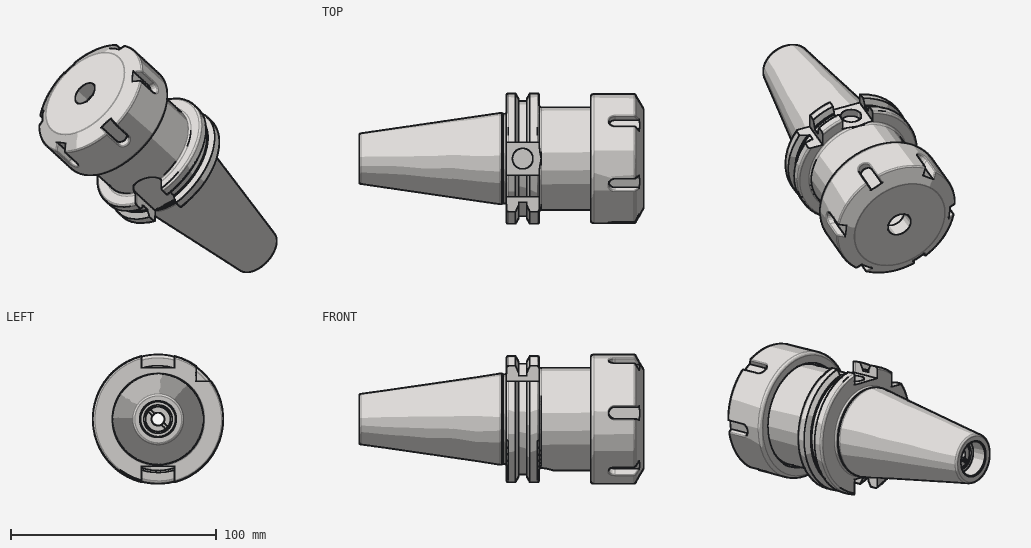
import cadquery as cq
import math


edge_tolerance = 0.01

taper_length = 68.4
taper_ratio = 7 / 24
gauge_radius = 44.45 / 2
taper_end_fillet = 1.0
gauge_land = 0.8
neck_radius = 21.9
neck_start = 1.6
neck_fillet = 0.7

flange_start = 3.2
flange_end = 19.1
flange_radius = 63.55 / 2
flange_fillet = 1.0
groove_center = 11.1
groove_floor_radius = 28.1
groove_floor_width = 3.75
groove_mouth_width = 7.0
groove_flank_angle = 30.0

slot_width = 16.1
slot_end = 26.0
upper_slot_height = 25.0
lower_slot_height = 22.8
notch_offset = 18.5
chip_hole_diameter = 10.0
chip_hole_depth = 4.0

body_radius = 25.0
body_fillet = 1.0
nose_end = 62.0
entry_radius = 8.5
entry_depth = 8.0
entry_chamfer = 0.4
seat_radius = 6.9
seat_depth = 0.3
bore_radius = 6.05

screw_length = 10.0
screw_hole_radius = 3.1
screw_slot_width = 1.5
screw_slot_depth = 1.5
screw_slot_angle = 45.0

nut_start = 44.1
nut_end = 70.0
nut_radius = 31.49
nut_back_fillet = 1.6
nut_face_radius = 24.0
nut_cone_angle = 30.0
nut_cone_fillet = 1.0
nut_face_fillet = 0.5
nut_relief_radius = 26.0
nut_relief_depth = 2.0
nut_slot_count = 6
nut_slot_first_angle = 6.0
nut_slot_width = 6.0
nut_slot_start = 52.9
nut_slot_floor = 27.6
nut_slot_edge_fillet = 0.5


def revolve_about_x(points):
    return cq.Workplane("XY").polyline(points).close().revolve(360, (0, 0, 0), (1, 0, 0))


def cylinder_x(radius, start, end):
    return cq.Workplane("YZ", origin=(start, 0, 0)).circle(radius).extrude(end - start)


def round_ring_edge(solid, x, radius, fillet):
    """Fillet the circular edge of the given radius that lies at x around the axis."""
    ring = solid.edges("%CIRCLE").filter(
        lambda edge: abs(edge.Center().x - x) < edge_tolerance
        and abs(edge.radius() - radius) < edge_tolerance
    )
    return ring.fillet(fillet)


def make_holder_blank():
    groove_rise = (groove_mouth_width - groove_floor_width) / 2 / math.tan(math.radians(groove_flank_angle))
    flank_foot_radius = flange_radius - groove_rise
    mouth_half = groove_mouth_width / 2
    floor_half = groove_floor_width / 2
    shank_end = -taper_length
    shank_end_radius = gauge_radius - taper_length * taper_ratio / 2
    blank = revolve_about_x([
        (shank_end, 0),
        (shank_end, shank_end_radius),
        (0, gauge_radius),
        (gauge_land, gauge_radius),
        (neck_start, neck_radius),
        (flange_start, neck_radius),
        (flange_start, flange_radius),
        (groove_center - mouth_half, flange_radius),
        (groove_center - floor_half, flank_foot_radius),
        (groove_center - floor_half, groove_floor_radius),
        (groove_center + floor_half, groove_floor_radius),
        (groove_center + floor_half, flank_foot_radius),
        (groove_center + mouth_half, flange_radius),
        (flange_end, flange_radius),
        (flange_end, body_radius),
        (nose_end, body_radius),
        (nose_end, 0),
    ])
    blank = round_ring_edge(blank, shank_end, shank_end_radius, taper_end_fillet)
    blank = round_ring_edge(blank, flange_start, neck_radius, neck_fillet)
    blank = round_ring_edge(blank, flange_start, flange_radius, flange_fillet)
    blank = round_ring_edge(blank, flange_end, flange_radius, flange_fillet)
    return round_ring_edge(blank, flange_end, body_radius, body_fillet)


def make_drive_slot(floor_height, side):
    """Slot open toward the shank and rounded at its far end, on the +Z (1) or -Z (-1) side."""
    round_radius = slot_width / 2
    round_center = slot_end - round_radius
    return (
        cq.Workplane("XY", origin=(0, 0, side * floor_height))
        .moveTo(0, -round_radius)
        .lineTo(round_center, -round_radius)
        .threePointArc((slot_end, 0), (round_center, round_radius))
        .lineTo(0, round_radius)
        .close()
        .extrude(side * flange_radius)
    )


def make_corner_notch():
    width = flange_end - flange_start
    return cq.Workplane("XY").box(width, flange_radius, flange_radius, centered=False).translate(
        (flange_start, -notch_offset - flange_radius, notch_offset)
    )


def make_chip_hole():
    return (
        cq.Workplane("XY", origin=(groove_center, 0, upper_slot_height))
        .circle(chip_hole_diameter / 2)
        .extrude(-chip_hole_depth)
    )


def make_holder_bore():
    mouth = -taper_length
    step = mouth + entry_depth
    return revolve_about_x([
        (mouth, 0),
        (mouth, entry_radius + entry_chamfer),
        (mouth + entry_chamfer, entry_radius),
        (step, entry_radius),
        (step, seat_radius),
        (step + seat_depth, bore_radius),
        (nose_end, bore_radius),
        (nose_end, 0),
    ])


def make_holder():
    holder = make_holder_blank()
    holder = holder.cut(make_drive_slot(upper_slot_height, 1))
    holder = holder.cut(make_drive_slot(lower_slot_height, -1))
    holder = holder.cut(make_corner_notch())
    holder = holder.cut(make_chip_hole())
    return holder.cut(make_holder_bore())


def make_coolant_screw():
    start = -taper_length + entry_depth + seat_depth
    screw = cylinder_x(bore_radius, start, start + screw_length)
    screw = screw.cut(cylinder_x(screw_hole_radius, start, start + screw_length))
    driver_slot = (
        cq.Workplane("YZ", origin=(start, 0, 0))
        .rect(2 * bore_radius, screw_slot_width)
        .extrude(screw_slot_depth)
        .rotate((0, 0, 0), (1, 0, 0), screw_slot_angle)
    )
    return screw.cut(driver_slot)


def make_nut_blank():
    cone_start = nut_end - (nut_radius - nut_face_radius) * math.tan(math.radians(nut_cone_angle))
    blank = revolve_about_x([
        (nut_start, 0),
        (nut_start, nut_radius),
        (cone_start, nut_radius),
        (nut_end, nut_face_radius),
        (nut_end, 0),
    ])
    blank = round_ring_edge(blank, nut_start, nut_radius, nut_back_fillet)
    blank = round_ring_edge(blank, cone_start, nut_radius, nut_cone_fillet)
    return round_ring_edge(blank, nut_end, nut_face_radius, nut_face_fillet)


def make_nut_slot(angle):
    """Spanner slot on the -Y side, turned about X by the given angle toward +Z."""
    round_radius = nut_slot_width / 2
    round_center = nut_slot_start + round_radius
    return (
        cq.Workplane("XZ", origin=(0, -nut_slot_floor, 0))
        .moveTo(nut_end, -round_radius)
        .lineTo(round_center, -round_radius)
        .threePointArc((nut_slot_start, 0), (round_center, round_radius))
        .lineTo(nut_end, round_radius)
        .close()
        .extrude(nut_radius)
        .rotate((0, 0, 0), (1, 0, 0), -angle)
    )


def round_nut_slot_mouths(nut):
    """Round the edges where the slots break through the outer cylinder of the nut."""
    outer_cylinder = nut.faces("%CYLINDER").filter(
        lambda face: face.BoundingBox().zlen > 2 * nut_slot_floor
    )
    mouth_edges = outer_cylinder.edges().filter(
        lambda edge: edge.BoundingBox().xlen > edge_tolerance
        and edge.BoundingBox().xmin > nut_slot_start - edge_tolerance
    )
    return mouth_edges.fillet(nut_slot_edge_fillet)


def make_nut():
    nut = make_nut_blank()
    for i in range(nut_slot_count):
        nut = nut.cut(make_nut_slot(nut_slot_first_angle + i * 360 / nut_slot_count))
    nut = round_nut_slot_mouths(nut)
    nut = nut.cut(cylinder_x(nut_relief_radius, nut_start, nut_start + nut_relief_depth))
    nut = nut.cut(cylinder_x(body_radius, nut_start, nose_end))
    return nut.cut(cylinder_x(bore_radius, nose_end, nut_end))


holder = make_holder()
coolant_screw = make_coolant_screw()
nut = make_nut()

result = cq.Compound.makeCompound([holder.val(), coolant_screw.val(), nut.val()])